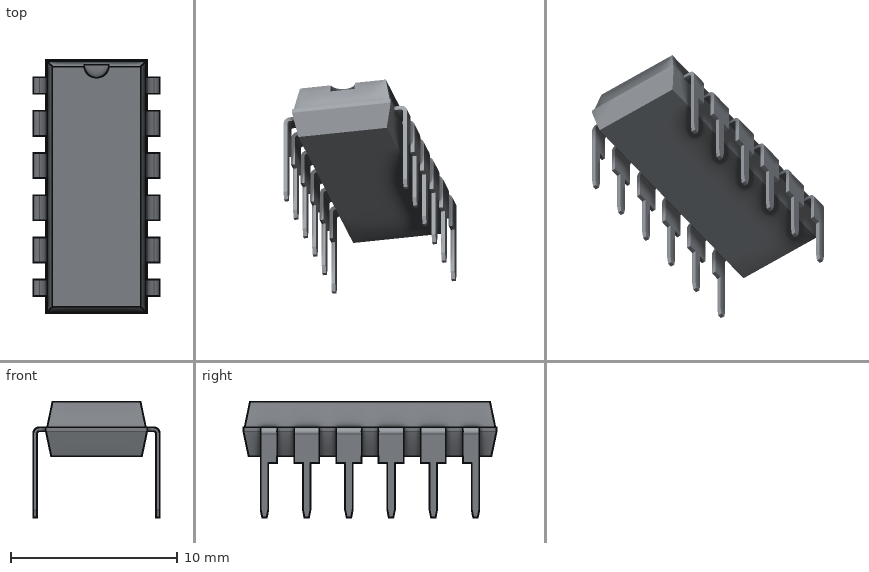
import cadquery as cq

overall_height = 6.98

body_width = 6.1
body_length = 15.24
upper_height = 1.54
lower_height = 1.51
upper_ledge = 0.08
upper_taper = 0.32
lower_taper = 0.32

notch_radius = 0.75
notch_depth = 0.45
notch_center_y = 7.3

lead_thickness = 0.25
lead_span = 7.62
lead_row_length = 12.7
leads_per_side = 6
lead_pitch = lead_row_length / (leads_per_side - 1)
blade_width = 1.52
pin_width = 0.47
tip_width = 0.27
tip_height = 0.49
bend_radius = 0.38
shoulder_drop = 2.16

band_top = lead_thickness / 2
band_bottom = -band_top
body_top = band_top + upper_height
shoulder_z = band_top - shoulder_drop
tip_z = body_top - overall_height


def tapered_half(start_z, inset, taper, height):
    """Body half that starts inset from the band and narrows by taper on each side."""
    width = body_width - 2 * inset
    length = body_length - 2 * inset
    return (
        cq.Workplane("XY")
        .workplane(offset=start_z)
        .rect(width, length)
        .workplane(offset=height)
        .rect(width - 2 * taper, length - 2 * taper)
        .loft(ruled=True)
    )


def make_body():
    band = cq.Workplane("XY").box(body_width, body_length, lead_thickness)
    upper = tapered_half(band_top, upper_ledge, upper_taper, upper_height)
    lower = tapered_half(band_bottom, 0, lower_taper, -lower_height)
    notch = (
        cq.Workplane("XY")
        .workplane(offset=body_top - notch_depth)
        .center(0, notch_center_y)
        .circle(notch_radius)
        .extrude(notch_depth)
    )
    return band.union(upper).union(lower).cut(notch)


def bent_strip():
    """Bent sheet of the -X leads, spanning the full row before it is cut to shape."""
    outer_x = -lead_span / 2
    inner_x = outer_x + lead_thickness
    bend_x = outer_x + bend_radius
    bend_z = band_top - bend_radius
    root_x = -body_width / 2
    inner_radius = bend_radius - lead_thickness
    return (
        cq.Workplane("XZ")
        .moveTo(root_x, band_top)
        .lineTo(bend_x, band_top)
        .radiusArc((outer_x, bend_z), -bend_radius)
        .lineTo(outer_x, tip_z)
        .lineTo(inner_x, tip_z)
        .lineTo(inner_x, bend_z)
        .radiusArc((bend_x, band_bottom), inner_radius)
        .lineTo(root_x, band_bottom)
        .close()
        .extrude(body_length / 2, both=True)
    )


def lead_outline(center_y, blade_low, blade_high):
    """Lead as seen along X: a blade between two Y offsets and a narrow pin with a tapered tip."""
    half_pin = pin_width / 2
    half_tip = tip_width / 2
    taper_z = tip_z + tip_height
    plane = cq.Workplane("YZ", origin=(0, center_y, 0))
    blade = (
        plane.moveTo(blade_low, shoulder_z)
        .lineTo(blade_high, shoulder_z)
        .lineTo(blade_high, band_top)
        .lineTo(blade_low, band_top)
        .close()
        .extrude(-lead_span)
    )
    pin = (
        plane.moveTo(-half_pin, band_top)
        .lineTo(-half_pin, taper_z)
        .lineTo(-half_tip, tip_z)
        .lineTo(half_tip, tip_z)
        .lineTo(half_pin, taper_z)
        .lineTo(half_pin, band_top)
        .close()
        .extrude(-lead_span)
    )
    return blade.union(pin)


def make_lead_row():
    strip = bent_strip()
    row = cq.Workplane("XY")
    for index in range(leads_per_side):
        center_y = index * lead_pitch - lead_row_length / 2
        is_first = index == 0
        is_last = index == leads_per_side - 1
        blade_low = -(pin_width if is_first else blade_width) / 2
        blade_high = (pin_width if is_last else blade_width) / 2
        row = row.union(strip.intersect(lead_outline(center_y, blade_low, blade_high)))
    return row


left_leads = make_lead_row()
right_leads = left_leads.mirror("YZ")
result = make_body().union(left_leads, clean=False).union(right_leads, clean=False)